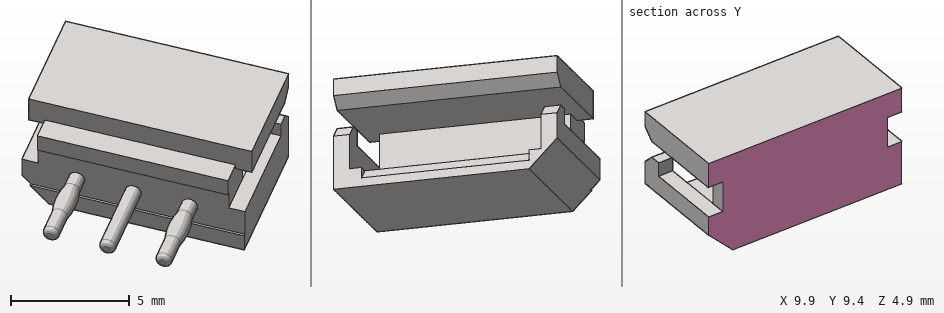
import cadquery as cq

length = 9.9
height = 4.9
body_depth = 5.8
lip_projection = 0.1

plate_depth = 4.9
plate_thickness = 1.24
edge_chamfer = 0.5

end_width = 0.72
rail_top = 2.18
hook_depth = 1.02
hook_top = 2.86
floor_top = 0.84
floor_chamfer = 0.46
corner_chamfer = 1.24

block_rear = 4.0
block_top = 3.88
upper_lip_bottom = 3.04
block_length = length - 2 * end_width

pin_pitch = 2.5
pin_height = 1.8
pin_radius = 0.35
pin_tip = 9.4
pin_tip_fillet = 0.21
bulge_start = 6.5
bulge_length = 1.6
bulge_radius = 0.45

front_y = -body_depth
lip_y = front_y - lip_projection
plate_bottom = height - plate_thickness


def box_between(x_length, y_front, y_rear, z_bottom, z_top):
    """Box centred on X that spans the given Y and Z ranges."""
    return (
        cq.Workplane("XY", origin=(0, (y_front + y_rear) / 2, z_bottom))
        .box(x_length, y_rear - y_front, z_top - z_bottom, centered=(True, True, False))
    )


def extrude_along_x(profile, start_x, x_length):
    """Extrude a closed (Y, Z) profile along +X from start_x."""
    return cq.Workplane("YZ", origin=(start_x, 0, 0)).polyline(profile).close().extrude(x_length)


def make_top_plate():
    """Full-length plate with a chamfered lower rear edge."""
    plate = box_between(length, -plate_depth, 0, plate_bottom, height)
    return plate.faces(">Y").edges("<Z").chamfer(edge_chamfer)


def make_end_rail(start_x):
    """End rail with a chamfered upright hook at the rear."""
    profile = [
        (0, 0),
        (front_y, 0),
        (front_y, rail_top),
        (-hook_depth, rail_top),
        (-hook_depth, hook_top),
        (-edge_chamfer, hook_top),
        (0, hook_top - edge_chamfer),
    ]
    return extrude_along_x(profile, start_x, end_width)


def make_floor():
    """Slot floor with a rear lead-in that stops short of the keying corner so the corner stays closed."""
    floor = box_between(block_length, front_y, 0, 0, floor_top)
    lead_in_length = length - 2 * corner_chamfer
    lead_in_profile = [(0, floor_top), (-floor_chamfer, floor_top), (0, floor_top - floor_chamfer)]
    return floor.cut(extrude_along_x(lead_in_profile, -lead_in_length / 2, lead_in_length))


def make_centre_block():
    """Block behind the pins, with the upper front lip."""
    core = box_between(block_length, front_y, -block_rear, 0, block_top)
    upper_lip = box_between(block_length, lip_y, front_y, upper_lip_bottom, block_top)
    return core.union(upper_lip)


def make_corner_cutter():
    """Triangular prism that removes the keying corner along the whole depth."""
    left = -length / 2
    return (
        cq.Workplane("XZ")
        .polyline([(left, 0), (left + corner_chamfer, 0), (left, corner_chamfer)])
        .close()
        .extrude(-lip_y)
    )


def make_pin(x, has_bulge):
    """Round pin along -Y with a rounded tip and, if asked for, a barrel-shaped press-fit bulge."""
    tip_y = -pin_tip
    root_y = -block_rear
    pin = (
        cq.Workplane("XZ", origin=(x, root_y, pin_height))
        .circle(pin_radius)
        .extrude(root_y - tip_y)
        .faces("<Y")
        .edges()
        .fillet(pin_tip_fillet)
    )
    if not has_bulge:
        return pin
    bulge_rear_y = -bulge_start
    bulge_middle_y = bulge_rear_y - bulge_length / 2
    bulge_front_y = bulge_rear_y - bulge_length
    bulge = (
        cq.Workplane("XY", origin=(x, 0, pin_height))
        .moveTo(0, bulge_rear_y)
        .lineTo(pin_radius, bulge_rear_y)
        .threePointArc((bulge_radius, bulge_middle_y), (pin_radius, bulge_front_y))
        .lineTo(0, bulge_front_y)
        .close()
        .revolve(360, (0, 0, 0), (0, 1, 0))
    )
    return pin.union(bulge)


housing = make_top_plate().union(make_centre_block()).union(make_floor())
for rail_start in (-length / 2, length / 2 - end_width):
    housing = housing.union(make_end_rail(rail_start))
lower_lip = box_between(length, lip_y, front_y, 0, floor_top)
housing = housing.union(lower_lip).cut(make_corner_cutter())

result = housing
for position in (-1, 0, 1):
    result = result.union(make_pin(position * pin_pitch, has_bulge=position != 0))